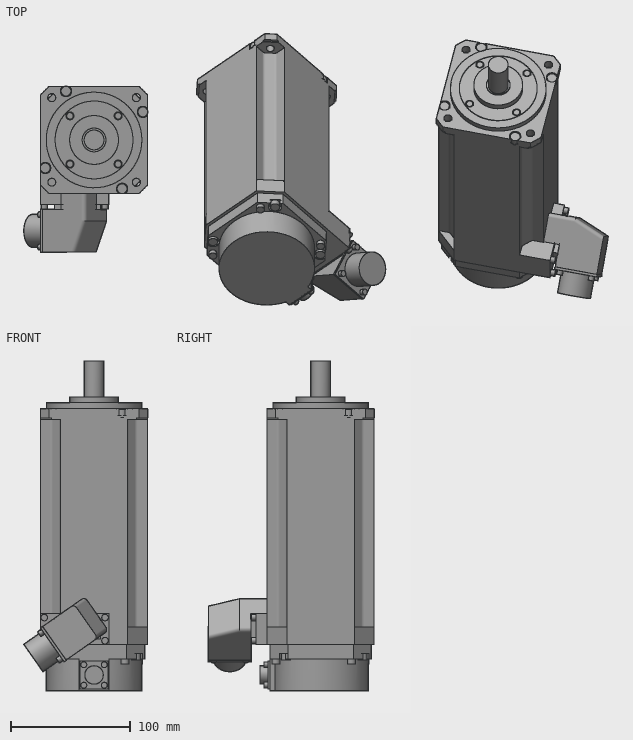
import cadquery as cq


ENCODER_TOP = 26.5
CAP_TOP = 38.5
GROOVE_BOTTOM = 53.5
BLOCK_TOP = 64.5
GROOVE_TOP = 226.5
FLANGE_BOTTOM = 227.8
FLANGE_TOP = 235.5
PILOT_TOP = 240.5
BOSS_TOP = 245.5
SHAFT_TOP = 275.5

BODY_SIDE = 89.5
BODY_HALF = BODY_SIDE / 2
FLANGE_CHAMFER = 7.2
LEDGE_CHAMFER = 9.5
CAP_SIDE = 84.9
CAP_HALF = CAP_SIDE / 2
CAP_CHAMFER = 15.2

GROOVE_EDGE = 28.0
GROOVE_FLOOR_CHAMFER = 7.2
GROOVE_FILLET = 3.3
BASE_CHAMFER = BODY_HALF - GROOVE_EDGE

SHAFT_RADIUS = 8.3
SHAFT_GAP_RADIUS = 10.0
SHAFT_GAP_DEPTH = 0.8
BOSS_RADIUS = 20.5
COVER_RADIUS = 32.5
COVER_DEPTH = 0.5
PILOT_RADIUS = 40.0

BLOCK_RIGHT = 12.5
BLOCK_FRONT = -54.0
BLOCK_CENTER_X = (BLOCK_RIGHT - BODY_HALF) / 2
BLOCK_CENTER_Z = (CAP_TOP + BLOCK_TOP) / 2
SEAT_LEFT = -33.0
SEAT_RIGHT = 5.5
SEAT_HEIGHT = 16.5

ELBOW_ANGLE = 35.0
ELBOW_BACK = -58.0
ELBOW_FRONT = -93.7
ELBOW_MIDDLE = (ELBOW_BACK + ELBOW_FRONT) / 2
ELBOW_HALF_HEIGHT = 17.0
ELBOW_START = -20.7
ELBOW_END = 22.3
ELBOW_BEVEL_END = 11.5
ELBOW_BEVEL_START = -67.8
ELBOW_EDGE_FILLET = 3.3
PLATE_THICKNESS = 2.2
PLATE_RIM = 0.3
PLUG_RADIUS = 14.0
PLUG_LENGTH = 19.3
SMALL_SCREW_RADIUS = 2.5
SMALL_SCREW_HEIGHT = 3.9

OVERLAP = 1.5


def corners(half_x, half_y):
    return [(sx * half_x, sy * half_y) for sx in (-1, 1) for sy in (-1, 1)]


def quarter_turns(x, y):
    """The point (x, y) and its three copies turned about the motor axis."""
    return [(x, y), (-y, x), (-x, -y), (y, -x)]


def cylinder(points, radius, bottom, top):
    return cq.Workplane("XY", origin=(0, 0, bottom)).pushPoints(points).circle(radius).extrude(top - bottom)


def chamfered_square(side, chamfer, bottom, top):
    square = cq.Workplane("XY", origin=(0, 0, bottom)).rect(side, side).extrude(top - bottom)
    return square.edges("|Z").chamfer(chamfer)


def box(x_range, y_range, z_range):
    size = [high - low for low, high in (x_range, y_range, z_range)]
    return cq.Workplane("XY").box(*size, centered=False).translate((x_range[0], y_range[0], z_range[0]))


def facing_front(points, radius, back, front):
    """Cylinders along Y at (x, z) points."""
    plane = cq.Workplane("XZ", origin=(0, back, 0))
    return plane.pushPoints(points).circle(radius).extrude(back - front)


def body():
    plain = chamfered_square(BODY_SIDE, BASE_CHAMFER, CAP_TOP, GROOVE_BOTTOM)
    length = GROOVE_TOP - GROOVE_BOTTOM
    wall = GROOVE_EDGE
    floor = GROOVE_EDGE + GROOVE_FLOOR_CHAMFER
    outer = BODY_HALF
    quarter = [(outer, -wall), (outer, wall), (floor, wall), (wall, floor)]
    turned = [quarter_turns(x, y) for x, y in quarter]
    outline = [point_turns[turn] for turn in range(4) for point_turns in turned]
    grooved = cq.Workplane("XY", origin=(0, 0, GROOVE_BOTTOM)).polyline(outline).close().extrude(length)
    for sx, sy in corners(1, 1):
        for x, y in ((floor, wall), (wall, floor)):
            edge = cq.selectors.NearestToPointSelector((sx * x, sy * y, GROOVE_BOTTOM + length / 2))
            grooved = grooved.edges("|Z").edges(edge).fillet(GROOVE_FILLET)
    return plain.union(grooved)


def flange():
    hole_offset = 35.3
    hole_radius = 3.3
    bolts = quarter_turns(40.8, 23.5)
    bolt_pocket_radius = 4.7
    bolt_head_radius = 4.0
    pocket_bottom = 229.8
    head_top = 234.7
    part = chamfered_square(BODY_SIDE, FLANGE_CHAMFER, FLANGE_BOTTOM, FLANGE_TOP)
    part = part.union(chamfered_square(BODY_SIDE, LEDGE_CHAMFER, GROOVE_TOP, FLANGE_BOTTOM))
    part = part.cut(cylinder(corners(hole_offset, hole_offset), hole_radius, GROOVE_TOP, FLANGE_TOP))
    part = part.cut(cylinder(bolts, bolt_pocket_radius, pocket_bottom, FLANGE_TOP))
    return part.union(cylinder(bolts, bolt_head_radius, pocket_bottom - OVERLAP, head_top))


def shaft_end():
    axis = [(0, 0)]
    screw_offset = 20.0
    cover_screws = corners(screw_offset, screw_offset)
    pocket_radius = 3.3
    head_radius = 2.8
    pocket_bottom = 237.8
    head_top = 240.0
    part = cylinder(axis, PILOT_RADIUS, FLANGE_TOP, PILOT_TOP)
    part = part.cut(cylinder(axis, COVER_RADIUS, PILOT_TOP - COVER_DEPTH, PILOT_TOP))
    part = part.cut(cylinder(cover_screws, pocket_radius, pocket_bottom, PILOT_TOP))
    part = part.union(cylinder(cover_screws, head_radius, pocket_bottom - OVERLAP, head_top))
    part = part.union(cylinder(axis, BOSS_RADIUS, FLANGE_TOP, BOSS_TOP))
    part = part.cut(cylinder(axis, SHAFT_GAP_RADIUS, BOSS_TOP - SHAFT_GAP_DEPTH, BOSS_TOP))
    return part.union(cylinder(axis, SHAFT_RADIUS, FLANGE_TOP, SHAFT_TOP))


def rear_cap():
    recessed = quarter_turns(35.0, -29.0)
    recess_radius = 5.5
    recess_top = 31.0
    recessed_head_radius = 3.9
    recessed_head_bottom = 26.0
    exposed = quarter_turns(37.2, 26.0)
    exposed_head_radius = 3.3
    exposed_head_bottom = 22.3
    part = chamfered_square(CAP_SIDE, CAP_CHAMFER, ENCODER_TOP, CAP_TOP)
    part = part.cut(cylinder(recessed, recess_radius, ENCODER_TOP, recess_top))
    part = part.union(cylinder(recessed, recessed_head_radius, recessed_head_bottom, recess_top + OVERLAP))
    return part.union(cylinder(exposed, exposed_head_radius, exposed_head_bottom, ENCODER_TOP + OVERLAP))


def encoder():
    pad_half = 12.5
    plate_half = 11.8
    plate_bottom = 1.5
    plate_top = 25.0
    plate_front = -44.0
    screw_front = -47.5
    socket_front = -50.7
    socket_radius = 7.7
    screw_offset = 8.5
    center_z = (plate_bottom + plate_top) / 2
    screws = [(x, center_z + z) for x, z in corners(screw_offset, screw_offset)]
    part = cylinder([(0, 0)], PILOT_RADIUS, 0, ENCODER_TOP)
    part = part.union(box((-pad_half, pad_half), (-CAP_HALF, 0), (0, ENCODER_TOP)))
    part = part.union(box((-plate_half, plate_half), (plate_front, -CAP_HALF), (plate_bottom, plate_top)))
    part = part.union(facing_front(screws, SMALL_SCREW_RADIUS, -CAP_HALF, screw_front))
    return part.union(facing_front([(0, center_z)], socket_radius, -CAP_HALF, socket_front))


def terminal_block():
    screw_x = 25.3
    screw_z = 9.6
    screw_radius = 2.8
    screw_front = -57.9
    screws = [(BLOCK_CENTER_X + x, BLOCK_CENTER_Z + z) for x, z in corners(screw_x, screw_z)]
    seat_z = (BLOCK_CENTER_Z - SEAT_HEIGHT / 2, BLOCK_CENTER_Z + SEAT_HEIGHT / 2)
    part = box((-BODY_HALF, BLOCK_RIGHT), (BLOCK_FRONT, -GROOVE_EDGE), (CAP_TOP, BLOCK_TOP))
    part = part.union(box((SEAT_LEFT, SEAT_RIGHT), (ELBOW_BACK, BLOCK_FRONT), seat_z))
    return part.union(facing_front(screws, screw_radius, BLOCK_FRONT + OVERLAP, screw_front))


def turn_elbow(part):
    """Move a piece modelled along X at Z = 0 to its tilted place on the block."""
    tilted = part.rotate((0, 0, 0), (0, 1, 0), -ELBOW_ANGLE)
    return tilted.translate((BLOCK_CENTER_X, 0, BLOCK_CENTER_Z))


def elbow_housing():
    outline = [
        (ELBOW_START, -BODY_HALF),
        (ELBOW_END, -BODY_HALF),
        (ELBOW_END, ELBOW_BEVEL_START),
        (ELBOW_BEVEL_END, ELBOW_FRONT),
        (ELBOW_START, ELBOW_FRONT),
    ]
    plane = cq.Workplane("XY", origin=(0, 0, -ELBOW_HALF_HEIGHT))
    housing = plane.polyline(outline).close().extrude(2 * ELBOW_HALF_HEIGHT)
    bevel_x = (ELBOW_END + ELBOW_BEVEL_END) / 2
    bevel_y = (ELBOW_BEVEL_START + ELBOW_FRONT) / 2
    straight_y = (-BODY_HALF + ELBOW_BEVEL_START) / 2
    for side in (-1, 1):
        z = side * ELBOW_HALF_HEIGHT
        on_bevel = cq.selectors.NearestToPointSelector((bevel_x, bevel_y, z))
        on_end = cq.selectors.NearestToPointSelector((ELBOW_END, straight_y, z))
        end_edges = housing.edges(on_bevel).add(housing.edges(on_end))
        housing = end_edges.fillet(ELBOW_EDGE_FILLET)
    housing = turn_elbow(housing)
    reach = 110.2
    behind = box((-reach, reach), (ELBOW_BACK, 0), (-reach, BLOCK_TOP))
    return housing.cut(behind)


def elbow_plug():
    plate_end = ELBOW_START - PLATE_THICKNESS
    half_height = ELBOW_HALF_HEIGHT + PLATE_RIM
    plate_y = (ELBOW_FRONT - PLATE_RIM, ELBOW_BACK + PLATE_RIM)
    screw_offset = 13.5
    screws = [(ELBOW_MIDDLE + y, z) for y, z in corners(screw_offset, screw_offset)]
    plate = box((plate_end, ELBOW_START), plate_y, (-half_height, half_height))
    outward = cq.Workplane("YZ", origin=(plate_end, 0, 0))
    plug = outward.center(ELBOW_MIDDLE, 0).circle(PLUG_RADIUS).extrude(-PLUG_LENGTH)
    heads = outward.pushPoints(screws).circle(SMALL_SCREW_RADIUS).extrude(-SMALL_SCREW_HEIGHT)
    return turn_elbow(plate.union(plug).union(heads))


result = body()
for piece in (flange(), shaft_end(), rear_cap(), encoder(), terminal_block(), elbow_housing(), elbow_plug()):
    result = result.union(piece)